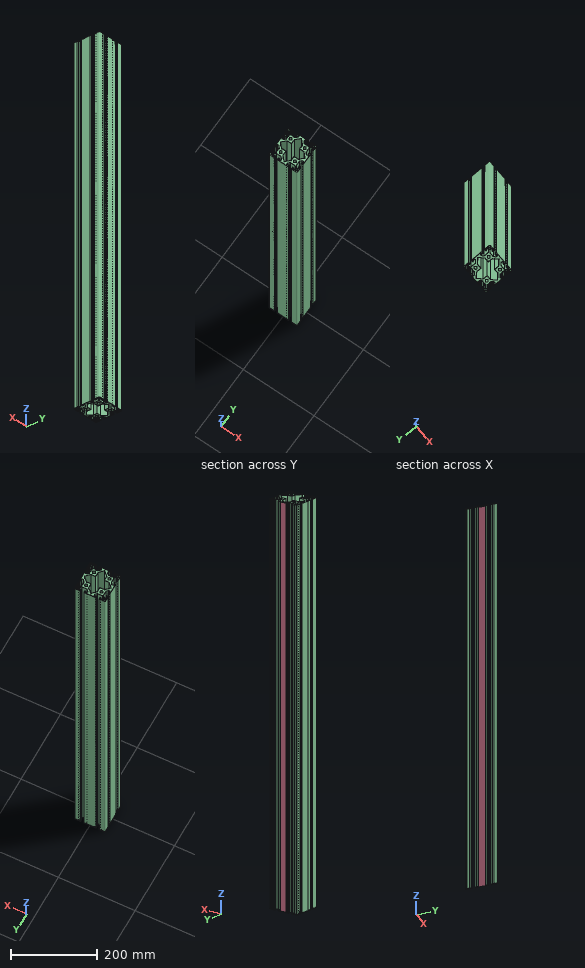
import cadquery as cq

side = 80.0
length = 1000.0
corner_radius = 2.5

slot_offset = 20.0
slot_opening = 8.2
chamber_width = 22.0
chamber_bottom_width = 13.0
lip_nub_width = 2.5
lip_nub_depth = 5.0
lip_depth = 2.8

core_half_width = 8.6

cavity_half_width = slot_offset - core_half_width
cavity_tip = 35.0

core_bore_diameter = 6.8
corner_bore_diameter = 5.0
corner_bore_inset = 5.5

half_side = side / 2


def make_bar():
    """Solid square bar with rounded long edges."""
    bar = cq.Workplane("XY").rect(side, side).extrude(length)
    return bar.edges("|Z").fillet(corner_radius)


def make_slot(center_x):
    """T-slot in the +Y side: hooked lips, a wide chamber and 45-degree lower corners."""
    opening_half = slot_opening / 2
    nub_half = opening_half + lip_nub_width
    chamber_half = chamber_width / 2
    bottom_half = chamber_bottom_width / 2
    slot_floor = slot_offset + core_half_width
    slant = chamber_half - bottom_half

    right_half = [
        (opening_half, half_side),
        (opening_half, half_side - lip_nub_depth),
        (nub_half, half_side - lip_nub_depth),
        (nub_half, half_side - lip_depth),
        (chamber_half, half_side - lip_depth),
        (chamber_half, slot_floor + slant),
        (bottom_half, slot_floor),
    ]
    left_half = [(-x, y) for x, y in reversed(right_half)]
    outline = [(center_x + x, y) for x, y in right_half + left_half]
    return cq.Workplane("XY").polyline(outline).close().extrude(length)


def make_cavity_arm():
    """Arm of the central cavity that runs from the axis toward the +Y side."""
    shoulder = cavity_tip - cavity_half_width
    outline = [
        (-cavity_half_width, -cavity_half_width),
        (cavity_half_width, -cavity_half_width),
        (cavity_half_width, shoulder),
        (0, cavity_tip),
        (-cavity_half_width, shoulder),
    ]
    return cq.Workplane("XY").polyline(outline).close().extrude(length)


def make_bores(diameter, offset):
    """Four round bores, one in each quadrant."""
    spacing = 2 * offset
    bores = cq.Workplane("XY").rarray(spacing, spacing, 2, 2).circle(diameter / 2)
    return bores.extrude(length)


result = make_bar()

side_cuts = [make_slot(-slot_offset), make_slot(slot_offset), make_cavity_arm()]
for angle in (0, 90, 180, 270):
    for side_cut in side_cuts:
        result = result.cut(side_cut.rotate((0, 0, 0), (0, 0, 1), angle))

result = result.cut(make_bores(core_bore_diameter, slot_offset))
result = result.cut(make_bores(corner_bore_diameter, half_side - corner_bore_inset))